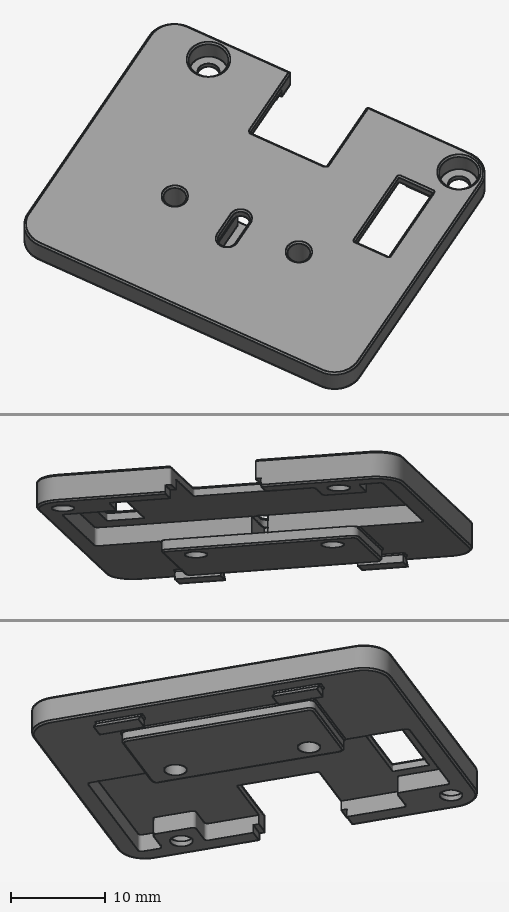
import cadquery as cq
length = 40.0
width = 32.5
plate_height = 3.0
total_height = 4.25
corner_radius = 3.0
edge_chamfer = 0.2
top_thickness = 1.0
rim_thickness = 2.0
ceiling_z = -top_thickness
plate_bottom_z = -plate_height
cavity_start_y = -2.05
pad_corner_radius = 0.4

screw_y = 13.45
left_screw_x = -13.0
right_screw_x = 17.2
screw_diameter = 2.4
counterbore_diameter = 4.2
counterbore_depth = 2.4
pad_half_size = 2.4

notch_width = 9.2
notch_depth = 8.9
notch_corner_radius = 0.25
notch_relief = 0.65
notch_relief_z = -2.1

window_x = 14.0
window_y = 5.1
window_length_x = 4.1
window_length_y = 9.55
window_corner_radius = 0.1

boss_length = 21.6
boss_width = 10.2
boss_y = -6.7
boss_corner_radius = 0.7
boss_bottom_z = -total_height
pin_spacing = 14.95
pin_y = -3.85
pin_diameter = 2.4

slot_y = -4.5
slot_width = 2.0
slot_length = 4.95
channel_width = 1.75

hook_spacing = 20.0
hook_length = 5.0
hook_inner_y = -13.5
hook_neck = 1.1
hook_reach = 0.75
hook_bottom_z = -4.0

foot_flare = 0.15


def box_between(x_min, x_max, y_min, y_max, z_min, z_max):
    """Axis-aligned box given by its limits."""
    size = (x_max - x_min, y_max - y_min, z_max - z_min)
    return cq.Workplane("XY").box(*size, centered=False).translate((x_min, y_min, z_min))


def make_plate():
    """Solid plate with the notch, rounded corners and chamfered top and bottom edges."""
    half_length = length / 2
    half_width = width / 2
    half_notch = notch_width / 2
    notch_floor_y = half_width - notch_depth
    plate = box_between(-half_length, half_length, -half_width, half_width, plate_bottom_z, 0)
    plate = plate.edges("|Z").fillet(corner_radius)
    plate = plate.cut(box_between(-half_notch, half_notch, notch_floor_y, half_width, plate_bottom_z, 0))
    notch_edges = cq.selectors.BoxSelector(
        (-notch_width, 0, 0.9 * plate_bottom_z),
        (notch_width, width, 0.1 * plate_bottom_z),
    )
    plate = plate.edges(notch_edges).fillet(notch_corner_radius)
    return plate.faces("<Z or >Z").edges().chamfer(edge_chamfer)


def make_cavity():
    """Hollow under the top skin, leaving the rim and a solid pad at each screw."""
    inner_x = length / 2 - rim_thickness
    inner_y = width / 2 - rim_thickness
    pad_y = screw_y - pad_half_size
    window_left_x = window_x - window_length_x / 2
    cavity = box_between(-inner_x, inner_x, cavity_start_y, inner_y, plate_bottom_z, ceiling_z)
    pad_spans = [
        (left_screw_x - pad_half_size, left_screw_x + pad_half_size),
        (window_left_x, inner_x),
    ]
    for x_min, x_max in pad_spans:
        cavity = cavity.cut(box_between(x_min, x_max, pad_y, inner_y, plate_bottom_z, ceiling_z))
    return cavity.edges("|Z").fillet(pad_corner_radius)


def make_foot(center_x, center_y, size_x, size_y, round_radius, y_min, y_max):
    """Sloped collar under the plate around a rectangle, kept only between two Y limits."""
    reach_x = size_x / 2 + foot_flare
    foot = (
        cq.Workplane("XY")
        .workplane(offset=plate_bottom_z)
        .center(center_x, center_y)
        .sketch()
        .rect(2 * reach_x, size_y + 2 * foot_flare)
        .vertices()
        .fillet(round_radius + foot_flare)
        .finalize()
        .extrude(-foot_flare, taper=45)
    )
    kept_zone = box_between(
        center_x - reach_x, center_x + reach_x, y_min, y_max, plate_bottom_z - foot_flare, plate_bottom_z
    )
    return foot.intersect(kept_zone)


def make_boss():
    """Rounded boss under the plate; its +Y edge overhangs the cavity, so the foot stops there."""
    boss_height = plate_bottom_z - boss_bottom_z
    boss = (
        cq.Workplane("XY")
        .box(boss_length, boss_width, boss_height)
        .translate((0, boss_y, boss_bottom_z + boss_height / 2))
        .edges("|Z")
        .fillet(boss_corner_radius)
        .faces("<Z")
        .edges()
        .chamfer(edge_chamfer)
    )
    foot_start_y = boss_y - boss_width / 2 - foot_flare
    foot = make_foot(0, boss_y, boss_length, boss_width, boss_corner_radius, foot_start_y, cavity_start_y)
    return boss.union(foot)


def make_hook(center_x):
    """Snap hook with a sloped catch pointing to -Y and a foot on its other three sides."""
    neck_outer_y = hook_inner_y - hook_neck
    profile = [
        (hook_inner_y, plate_bottom_z),
        (hook_inner_y, hook_bottom_z),
        (neck_outer_y - hook_reach, hook_bottom_z),
        (neck_outer_y, hook_bottom_z + hook_reach),
        (neck_outer_y, plate_bottom_z),
    ]
    hook = cq.Workplane("YZ").polyline(profile).close().extrude(hook_length / 2, both=True)
    neck_y = hook_inner_y - hook_neck / 2
    foot_end_y = hook_inner_y + foot_flare
    foot = make_foot(center_x, neck_y, hook_length, hook_neck, foot_flare, neck_outer_y, foot_end_y)
    return hook.translate((center_x, 0, 0)).union(foot)


def opening_tool(tool):
    """Cutting tool standing below Z = 0, widened by a chamfer at the top face."""
    mouth = tool.faces(">Z").wires().toPending().offset2D(edge_chamfer, "intersection")
    return tool.union(mouth.extrude(-edge_chamfer, combine=False, taper=45))


def hole_tool(x, y, diameter, depth):
    """Round cutting tool reaching down from the top face."""
    return cq.Workplane("XY").center(x, y).circle(diameter / 2).extrude(-depth)


def make_window_tool():
    """Rectangular opening with slightly rounded corners."""
    window = cq.Workplane("XY").center(window_x, window_y).rect(window_length_x, window_length_y)
    return window.extrude(-plate_height).edges("|Z").fillet(window_corner_radius)


def make_slot_tool():
    """Slot along Y through the top skin."""
    return cq.Workplane("XY").center(0, slot_y).slot2D(slot_length, slot_width, 90).extrude(ceiling_z)


def make_channel():
    """Straight channel below the slot, floored by the boss and open to the cavity."""
    half_channel = channel_width / 2
    start_y = slot_y - slot_length / 2
    return box_between(-half_channel, half_channel, start_y, cavity_start_y, plate_bottom_z, ceiling_z)


def make_notch_relief():
    """Step that widens the lower part of the notch where it crosses the +Y rim."""
    half_relief = notch_width / 2 + notch_relief
    rim_y = width / 2 - rim_thickness
    return box_between(-half_relief, half_relief, rim_y, width / 2, plate_bottom_z, notch_relief_z)


result = make_plate().cut(make_cavity()).cut(make_notch_relief()).cut(make_channel()).union(make_boss())

for side in (-1, 1):
    result = result.union(make_hook(side * hook_spacing / 2))
    result = result.cut(opening_tool(hole_tool(side * pin_spacing / 2, pin_y, pin_diameter, total_height)))

for screw_x in (left_screw_x, right_screw_x):
    result = result.cut(opening_tool(hole_tool(screw_x, screw_y, counterbore_diameter, counterbore_depth)))
    result = result.cut(hole_tool(screw_x, screw_y, screw_diameter, plate_height))

result = result.cut(opening_tool(make_window_tool()))
result = result.cut(opening_tool(make_slot_tool()))